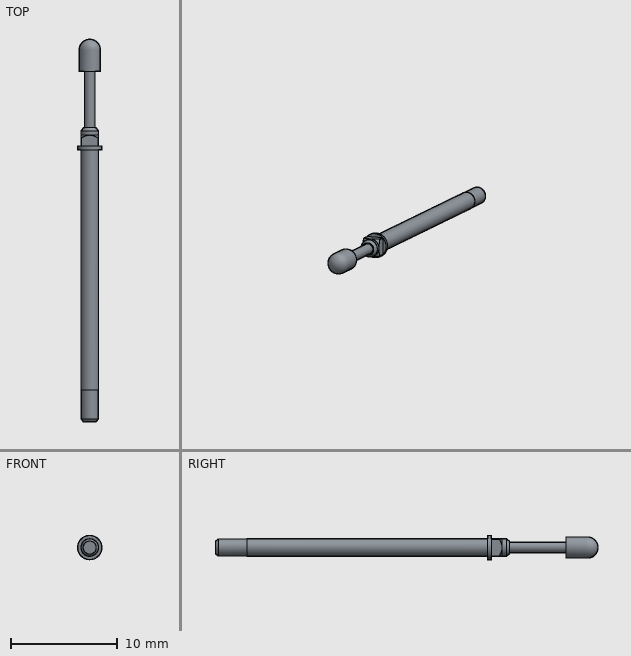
import cadquery as cq
import math

total_length = 35.8

head_diameter = 2.0
head_length = 3.0
stem_diameter = 1.0

barrel_diameter = 1.65
tail_diameter = 1.6
tail_length = 2.97
tail_chamfer_length = 0.3
tail_end_diameter = 1.2

collar_diameter = 2.3
collar_thickness = 0.35
collar_front_y = 25.8
square_side = 1.65
square_corner_diameter = 2.25
square_length = 1.0
square_lead_angle = 38.0
neck_diameter = 1.65
mouth_y = 27.53
mouth_diameter = 1.18
mouth_taper_length = 0.32


def rod(y_start, y_end, diameter):
    """Cylinder on the Y axis between two stations."""
    length = y_end - y_start
    return cq.Workplane("XZ", origin=(0, y_end, 0)).circle(diameter / 2).extrude(length)


def taper(y_start, y_end, start_diameter, end_diameter):
    """Truncated cone on the Y axis between two stations."""
    profile = [
        (0, y_start),
        (start_diameter / 2, y_start),
        (end_diameter / 2, y_end),
        (0, y_end),
    ]
    return cq.Workplane("XY").polyline(profile).close().revolve(360, (0, 0), (0, 1))


def make_head():
    """Contact head: a cylinder closed by a hemispherical tip."""
    radius = head_diameter / 2
    shoulder_y = total_length - head_length
    dome_y = total_length - radius
    dome_middle = radius * math.sqrt(0.5)
    return (
        cq.Workplane("XY")
        .moveTo(0, shoulder_y)
        .lineTo(radius, shoulder_y)
        .lineTo(radius, dome_y)
        .threePointArc((dome_middle, dome_y + dome_middle), (0, total_length))
        .close()
        .revolve(360, (0, 0), (0, 1))
    )


def make_square_key():
    """Square block with corners rounded to a circle and trimmed at the front by a cone."""
    front_y = collar_front_y + square_length
    lead_length = (square_corner_diameter - neck_diameter) / 2 * math.tan(math.radians(square_lead_angle))
    lead_start_y = front_y - lead_length
    block = (
        cq.Workplane("XZ", origin=(0, front_y, 0))
        .rect(square_side, square_side)
        .extrude(square_length)
    )
    envelope = rod(collar_front_y, lead_start_y, square_corner_diameter).union(
        taper(lead_start_y, front_y, square_corner_diameter, neck_diameter)
    )
    return block.intersect(envelope)


collar_back_y = collar_front_y - collar_thickness
taper_start_y = mouth_y - mouth_taper_length

tail_end = taper(0, tail_chamfer_length, tail_end_diameter, tail_diameter)
tail = rod(tail_chamfer_length, tail_length, tail_diameter)
barrel = rod(tail_length, collar_back_y, barrel_diameter)
collar = rod(collar_back_y, collar_front_y, collar_diameter)
neck = rod(collar_front_y + square_length, taper_start_y, neck_diameter)
mouth = taper(taper_start_y, mouth_y, neck_diameter, mouth_diameter)
stem = rod(mouth_y, total_length - head_length, stem_diameter)

result = tail_end
for section in (tail, barrel, collar, make_square_key(), neck, mouth, stem, make_head()):
    result = result.union(section)